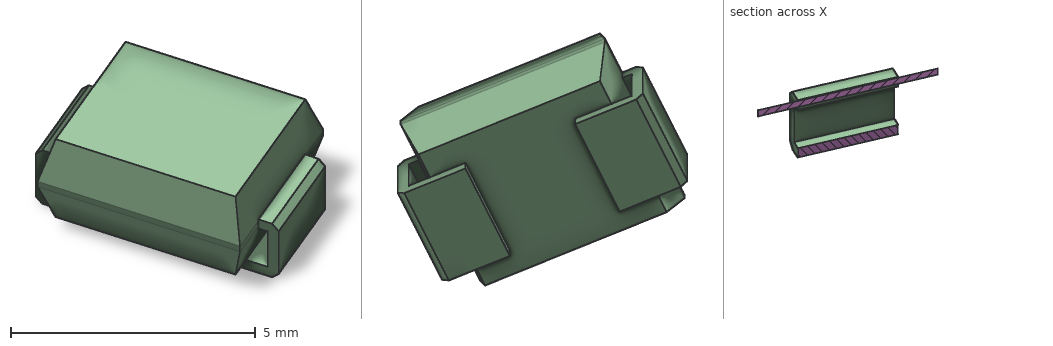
import cadquery as cq

body_length = 4.58
body_width = 3.94
body_base_z = 0.30
body_top_z = 2.44
band_height = 0.15
taper_inset_x = 0.255
taper_inset_y = 0.32

taper_height = (body_top_z - body_base_z - band_height) / 2
band_base_z = body_base_z + taper_height
band_top_z = band_base_z + band_height
face_length = body_length - 2 * taper_inset_x
face_width = body_width - 2 * taper_inset_y

lead_span = 5.50
lead_width = 2.20
lead_thickness = 0.25
lead_height = 1.47
foot_length = 1.52
bend_chamfer = 0.15


def make_body():
    """Band with an equal tapered half above and below it."""
    band = (
        cq.Workplane("XY", origin=(0, 0, band_base_z))
        .rect(body_length, body_width)
        .extrude(band_height)
    )
    upper = (
        cq.Workplane("XY", origin=(0, 0, band_top_z))
        .rect(body_length, body_width)
        .workplane(offset=taper_height)
        .rect(face_length, face_width)
        .loft(ruled=True)
    )
    lower = (
        cq.Workplane("XY", origin=(0, 0, body_base_z))
        .rect(face_length, face_width)
        .workplane(offset=taper_height)
        .rect(body_length, body_width)
        .loft(ruled=True)
    )
    return band.union(upper).union(lower)


def make_lead(side):
    """C-shaped strip butting against one end of the body; side is -1 or +1 along X."""
    outer_x = side * lead_span / 2
    inner_x = side * (lead_span / 2 - lead_thickness)
    bevel_x = side * (lead_span / 2 - bend_chamfer)
    body_end_x = side * body_length / 2
    foot_tip_x = side * (lead_span / 2 - foot_length)
    profile = [
        (body_end_x, lead_height),
        (bevel_x, lead_height),
        (outer_x, lead_height - bend_chamfer),
        (outer_x, bend_chamfer),
        (bevel_x, 0),
        (foot_tip_x, 0),
        (foot_tip_x, lead_thickness),
        (inner_x, lead_thickness),
        (inner_x, lead_height - lead_thickness),
        (body_end_x, lead_height - lead_thickness),
    ]
    return cq.Workplane("XZ").polyline(profile).close().extrude(lead_width / 2, both=True)


body = make_body()
leads = [make_lead(side) for side in (-1, 1)]

result = cq.Compound.makeCompound([body.val(), *[lead.val() for lead in leads]])